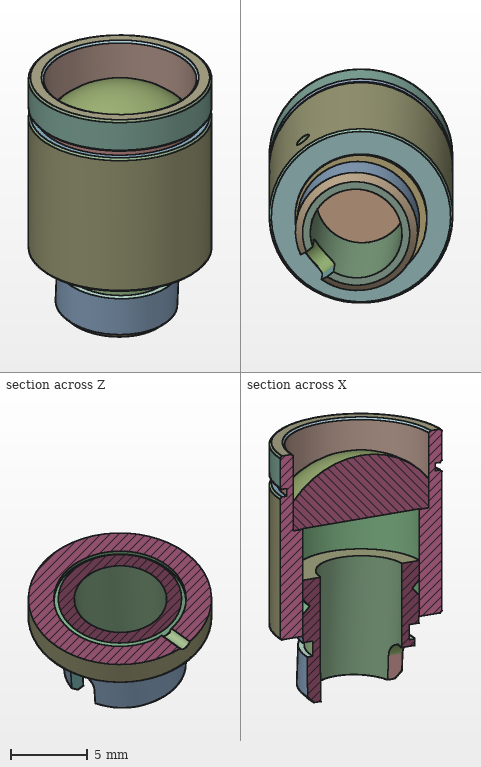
import cadquery as cq
import math

TOP_Z = 17.66
HOUSING_DIAMETER = 12.0
HOUSING_BOTTOM_Z = 4.93
HOUSING_CHAMFER = 0.15
GROOVE_DIAMETER = 11.0
GROOVE_TOP_Z = 15.33
GROOVE_WIDTH = 0.5
LENS_BORE_DIAMETER = 10.01
LENS_SEAT_Z = 12.36
PLUG_DIAMETER = 8.62
GLUE_HOLE_DIAMETER = 1.0
GLUE_HOLE_Z = 6.95

LENS_APEX_Z = 16.78
LENS_DOME_RADIUS = 6.45

PLUG_TOP_Z = 8.83
TILT_DEGREES = 4.0
TILT_PIVOT_Z = 7.33
NECK_DIAMETER = 7.2
NECK_LENGTH = 1.0
THREAD_DIAMETER = 8.0
THREAD_LENGTH = 3.25
THREAD_CHAMFER = 0.5
TUBE_BORE_DIAMETER = 6.0
TUBE_END_DISTANCE = 7.1
KEYWAY_WIDTH = 2.15
KEYWAY_LENGTH = 2.8


def cylinder(diameter, bottom_z, top_z):
    """Upright cylinder around the Z axis."""
    return cq.Workplane("XY").workplane(offset=bottom_z).circle(diameter / 2).extrude(top_z - bottom_z)


def revolve_about_z(profile):
    """Full turn of an XZ outline about the Z axis."""
    return profile.close().revolve(360, (0, 0, 0), (0, 1, 0))


def make_housing():
    """Sleeve with an outer groove, a stepped bore and a radial glue hole."""
    groove_bottom_z = GROOVE_TOP_Z - GROOVE_WIDTH
    body = cylinder(HOUSING_DIAMETER, HOUSING_BOTTOM_Z, groove_bottom_z)
    body = body.faces("<Z or >Z").edges().chamfer(HOUSING_CHAMFER)
    ring = cylinder(HOUSING_DIAMETER, GROOVE_TOP_Z, TOP_Z)
    ring = ring.faces("<Z or >Z").edges().chamfer(HOUSING_CHAMFER)
    groove_core = cylinder(GROOVE_DIAMETER, groove_bottom_z, GROOVE_TOP_Z)
    sleeve = body.union(groove_core).union(ring)

    sleeve = sleeve.cut(cylinder(LENS_BORE_DIAMETER, LENS_SEAT_Z, TOP_Z))
    bore_rim = cq.selectors.RadiusNthSelector(0)
    sleeve = sleeve.faces(">Z").edges(bore_rim).chamfer(HOUSING_CHAMFER)
    sleeve = sleeve.cut(cylinder(PLUG_DIAMETER, HOUSING_BOTTOM_Z, LENS_SEAT_Z))

    glue_hole = (
        cq.Workplane("YZ")
        .center(0, GLUE_HOLE_Z)
        .circle(GLUE_HOLE_DIAMETER / 2)
        .extrude(-HOUSING_DIAMETER / 2)
    )
    return sleeve.cut(glue_hole)


def make_lens():
    """Disc with a flat base on the bore step and a spherical dome on top."""
    radius = LENS_BORE_DIAMETER / 2
    dome_center_z = LENS_APEX_Z - LENS_DOME_RADIUS
    rim_z = dome_center_z + math.sqrt(LENS_DOME_RADIUS**2 - radius**2)
    half_angle = math.asin(radius / LENS_DOME_RADIUS) / 2
    dome_middle = (
        LENS_DOME_RADIUS * math.sin(half_angle),
        dome_center_z + LENS_DOME_RADIUS * math.cos(half_angle),
    )
    profile = (
        cq.Workplane("XZ")
        .moveTo(0, LENS_SEAT_Z)
        .lineTo(radius, LENS_SEAT_Z)
        .lineTo(radius, rim_z)
        .threePointArc(dome_middle, (0, LENS_APEX_Z))
    )
    return revolve_about_z(profile)


def tilted(solid):
    """Move a solid built with the tilt pivot at its origin onto the tilted tube axis."""
    return solid.rotate((0, 0, 0), (0, 1, 0), TILT_DEGREES).translate((0, 0, TILT_PIVOT_Z))


def make_plug(shoulder_distance):
    """Plug with a V-groove facing the glue hole and its lower end cut square to the tube axis."""
    below_shoulder = cylinder(2 * PLUG_DIAMETER, -2 * TILT_PIVOT_Z, -shoulder_distance)
    plug = cylinder(PLUG_DIAMETER, 0, PLUG_TOP_Z)
    plug = plug.cut(tilted(below_shoulder))

    radius = PLUG_DIAMETER / 2
    groove_depth = GLUE_HOLE_DIAMETER / 2
    v_groove = (
        cq.Workplane("XZ")
        .moveTo(radius, GLUE_HOLE_Z - groove_depth)
        .lineTo(radius - groove_depth, GLUE_HOLE_Z)
        .lineTo(radius, GLUE_HOLE_Z + groove_depth)
    )
    return plug.cut(revolve_about_z(v_groove))


def make_keyway():
    """Round-ended slot through the +Y wall of the tube, open at the free end."""
    round_center_z = KEYWAY_LENGTH - KEYWAY_WIDTH / 2 - TUBE_END_DISTANCE
    half_width = KEYWAY_WIDTH / 2
    return (
        cq.Workplane("XZ")
        .moveTo(-half_width, -TUBE_END_DISTANCE)
        .lineTo(half_width, -TUBE_END_DISTANCE)
        .lineTo(half_width, round_center_z)
        .threePointArc((0, round_center_z + half_width), (-half_width, round_center_z))
        .close()
        .extrude(-THREAD_DIAMETER)
    )


def make_connector():
    """Plug and tilted threaded tube in one piece, bored through along the tilted axis."""
    thread_top_z = THREAD_LENGTH - TUBE_END_DISTANCE
    neck_top_z = thread_top_z + NECK_LENGTH

    thread = cylinder(THREAD_DIAMETER, -TUBE_END_DISTANCE, thread_top_z)
    thread = thread.faces("<Z").edges().chamfer(THREAD_CHAMFER)
    neck = cylinder(NECK_DIAMETER, thread_top_z, neck_top_z)
    tube = thread.union(neck).cut(make_keyway())
    bore = cylinder(TUBE_BORE_DIAMETER, -TUBE_END_DISTANCE, PLUG_TOP_Z)
    return make_plug(-neck_top_z).union(tilted(tube)).cut(tilted(bore))


housing = make_housing()
lens = make_lens()
connector = make_connector()
result = cq.Compound.makeCompound([housing.val(), lens.val(), connector.val()])